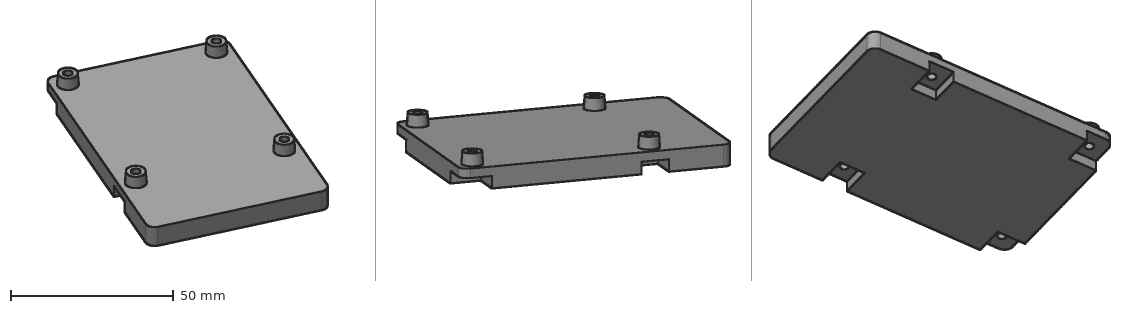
import cadquery as cq

length = 89.0
width = 60.0
base_height = 7.0
corner_radius = 3.0

standoff_height = 4.0
standoff_bottom_diameter = 6.8
standoff_top_diameter = 6.1
hole_diameter = 2.9
first_standoff_x = 5.5
standoff_spacing_x = 58.0
standoff_spacing_y = 49.0

pocket_height = 4.0
pocket_depth = 10.0
corner_pocket_length = 10.0
side_pocket_length = 9.0

second_standoff_x = first_standoff_x + standoff_spacing_x
side_pocket_start = second_standoff_x - side_pocket_length / 2
total_height = base_height + standoff_height
standoff_centres = [
    (x, side * standoff_spacing_y / 2)
    for x in (first_standoff_x, second_standoff_x)
    for side in (-1, 1)
]


def base_plate():
    block = cq.Workplane("XY").box(length, width, base_height, centered=(False, True, False))
    return block.edges("|Z").fillet(corner_radius)


def underside_pocket(start_x, pocket_length, side):
    centre_y = side * (width - pocket_depth) / 2
    return (
        cq.Workplane("XY")
        .box(pocket_length, pocket_depth, pocket_height, centered=(False, True, False))
        .translate((start_x, centre_y, 0))
    )


def standoff(x, y):
    return (
        cq.Workplane("XY", origin=(x, y, base_height))
        .circle(standoff_bottom_diameter / 2)
        .workplane(offset=standoff_height)
        .circle(standoff_top_diameter / 2)
        .loft(ruled=True)
    )


result = base_plate()

for side in (-1, 1):
    result = result.cut(underside_pocket(0, corner_pocket_length, side))
    result = result.cut(underside_pocket(side_pocket_start, side_pocket_length, side))

for x, y in standoff_centres:
    result = result.union(standoff(x, y))

through_holes = (
    cq.Workplane("XY")
    .pushPoints(standoff_centres)
    .circle(hole_diameter / 2)
    .extrude(total_height)
)
result = result.cut(through_holes)